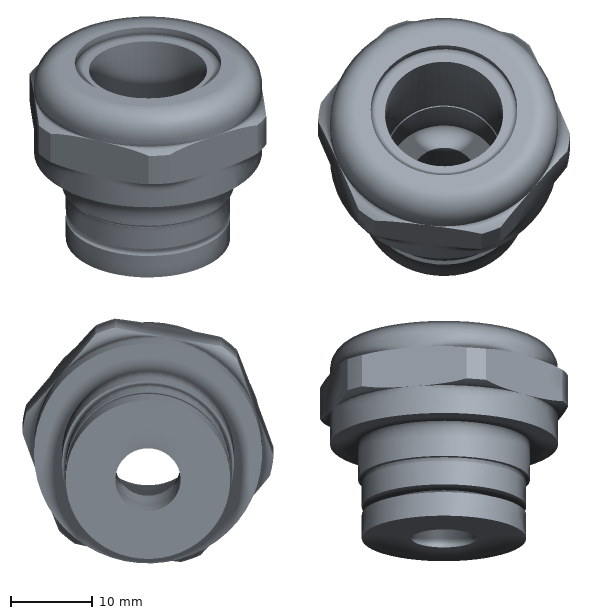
import cadquery as cq
import math

total_height = 24.5
clip_groove_bottom = 3.0
clip_groove_top = 4.0
neck_bottom = 7.0
neck_top = 7.5
collar_bottom = 12.0
hex_bottom = 15.55
hex_top = 20.5

spigot_diameter = 20.2
clip_groove_diameter = 15.0
neck_diameter = 20.0
shank_diameter = 21.15
collar_diameter = 28.0
dome_radius = 3.0

hex_across_flats = collar_diameter
hex_corner_diameter = 31.0
hex_crown_radius = 4.95
hex_crown_drop = 0.5

recess_diameter = 18.0
recess_depth = 1.0
bore_diameter = 14.5
bore_bottom = collar_bottom
seat_diameter = 14.2
seat_bottom = neck_bottom
cable_hole_diameter = 8.0


def cylinder(diameter, bottom, top):
    """Upright cylinder on the Z axis between two heights."""
    return cq.Workplane("XY").workplane(offset=bottom).circle(diameter / 2).extrude(top - bottom)


def turned_body():
    """Spigot with clip groove, neck, shank and collar, stacked from the bottom up."""
    sections = [
        (spigot_diameter, 0, clip_groove_bottom),
        (clip_groove_diameter, clip_groove_bottom, clip_groove_top),
        (spigot_diameter, clip_groove_top, neck_bottom),
        (neck_diameter, neck_bottom, neck_top),
        (shank_diameter, neck_top, collar_bottom),
    ]
    body = cylinder(collar_diameter, collar_bottom, total_height).faces(">Z").edges().fillet(dome_radius)
    for diameter, bottom, top in sections:
        body = body.union(cylinder(diameter, bottom, top))
    return body


def hexagon():
    """Hexagon with two corners on the X axis, trimmed by a disc whose rims fall away in convex arcs."""
    crown_start = collar_diameter / 2
    corner_radius = hex_corner_diameter / 2
    across_corners = hex_across_flats / math.cos(math.radians(30))
    prism = (
        cq.Workplane("XY")
        .workplane(offset=hex_bottom)
        .polygon(6, across_corners)
        .extrude(hex_top - hex_bottom)
    )
    trimming_disc = (
        cq.Workplane("XZ")
        .moveTo(0, hex_bottom)
        .lineTo(crown_start, hex_bottom)
        .radiusArc((corner_radius, hex_bottom + hex_crown_drop), -hex_crown_radius)
        .lineTo(corner_radius, hex_top - hex_crown_drop)
        .radiusArc((crown_start, hex_top), -hex_crown_radius)
        .lineTo(0, hex_top)
        .close()
        .revolve(360, (0, 0, 0), (0, 1, 0))
    )
    return prism.intersect(trimming_disc)


def stepped_bore():
    """Recess, bore, seat and cable hole, removed along the Z axis."""
    recess_bottom = total_height - recess_depth
    return (
        cylinder(recess_diameter, recess_bottom, total_height)
        .union(cylinder(bore_diameter, bore_bottom, recess_bottom))
        .union(cylinder(seat_diameter, seat_bottom, bore_bottom))
        .union(cylinder(cable_hole_diameter, 0, seat_bottom))
    )


result = turned_body().union(hexagon()).cut(stepped_bore())